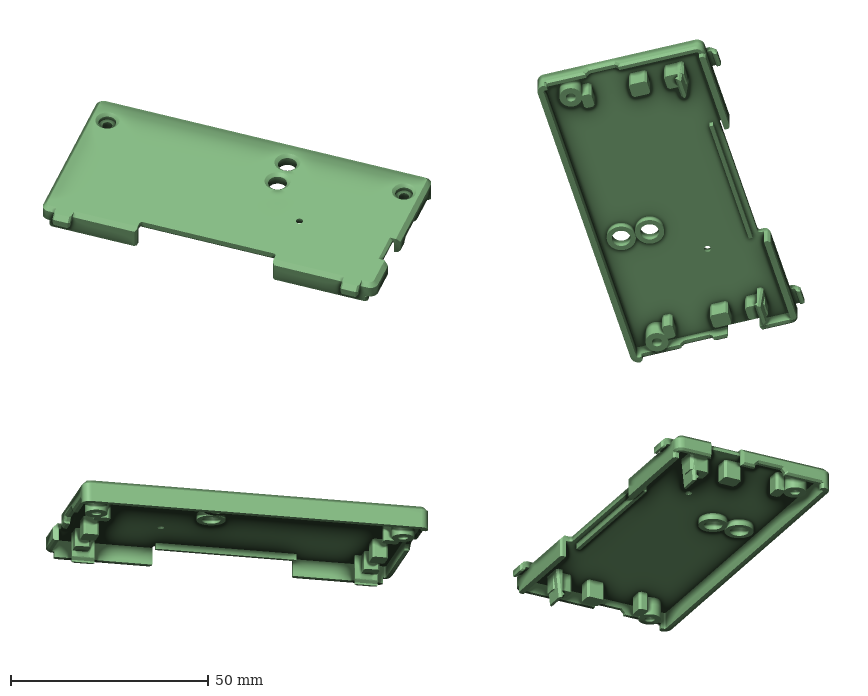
import cadquery as cq


length = 90.1
depth = 44.0
wall_height = 5.95
wall = 1.5
plate = 1.4
corner_radius = 2.1
top_chamfer = 1.1
edge_chamfer = 0.5
half_length = length / 2
inner_x = half_length - wall
overcut = 0.9

side_edge_z = -4.5
front_leg_inset = 2.8
rear_leg_length = 2.7
legs_cut_x = half_length - front_leg_inset
rear_leg_y = depth - rear_leg_length

side_notch_y = 26.7
side_notch_width = 8.6
side_notch_corner = 0.9
side_notch_z = -3.1

front_notch_left = -19.3
front_notch_right = 17.3
front_notch_depth = 3.1
front_notch_corner = 0.7
rib_y = 4.5
rib_width = 1.0
rib_z = -3.1

opening_y = 14.3
opening_width = 8.5
opening_depth = 2.0
opening_bevel = 0.7
opening_flare_length = 1.2
opening_flare_width = 0.5

screw_x = 39.9
screw_y = 36.1
boss_radius = 2.9
boss_z = -6.3
screw_sink_diameter = 6.1
screw_bore_diameter = 4.5
screw_bore_depth = 1.7
screw_hole_diameter = 2.5
screw_slot_width = 2.0
screw_slot_reach = 2.1
screw_slot_depth = 0.4

window_x = 8.4
window_ys = (29.1, 36.6)
window_sink_diameter = 6.6
window_diameter = 4.8
tube_diameter = 7.4
tube_z = -3.1
sink_depth = 0.7
pin_hole_x = 18.65
pin_hole_y = 16.8
pin_hole_diameter = 1.8

pad_spans = ((6.6, 11.8), (16.3, 21.1), (31.0, 33.7))
pad_outer_x = 39.6
pad_width = 4.05

hook_x = 38.7
hook_width = 4.7
hook_reach = 2.5
hook_height = 2.9
hook_chamfer = 0.45
hook_slope = 1.2
hook_thickness = 1.7
hook_root_y = -1.1
hook_catch_y = -1.4
hook_catch_z = -2.6
hook_tip_width = 0.6
tab_x = 36.85
tab_width = 5.9
tab_front_y = 6.5
tab_tip_y = 7.3
tab_back_y = 8.1
tab_z = -9.3
barb_z = -8.2
barb_reach = 0.6
barb_rise = 0.45
barb_drop = 0.6


def block(x_min, x_max, y_min, y_max, z_min, z_max):
    """Axis-aligned box given by its limits."""
    size = (x_max - x_min, y_max - y_min, z_max - z_min)
    return cq.Workplane("XY").box(*size, centered=False).translate((x_min, y_min, z_min))


def cylinder(x, y, diameter, z_min, z_max):
    """Upright cylinder."""
    return cq.Workplane("XY", origin=(x, y, z_min)).circle(diameter / 2).extrude(z_max - z_min)


def countersink(x, y, top_diameter, bottom_diameter):
    """Conical recess opening at the top face."""
    cone = cq.Workplane("XY", origin=(x, y, 0)).circle(top_diameter / 2)
    return cone.workplane(offset=-sink_depth).circle(bottom_diameter / 2).loft()


def both_sides(solid):
    """The solid together with its mirror image across the YZ plane."""
    return solid.union(solid.mirror("YZ"))


def make_shell():
    outer = block(-half_length, half_length, 0, depth, -wall_height, 0)
    outer = outer.edges("|Z").fillet(corner_radius).faces(">Z").chamfer(top_chamfer)
    cavity = block(-inner_x, inner_x, wall, depth - wall, -wall_height, -plate)
    cavity = cavity.edges("|Z").fillet(corner_radius - wall)
    return outer.cut(cavity)


def make_side_edge_cut():
    """Space below the left wall, beveled along the outer edge and at both legs."""
    front_x = -legs_cut_x
    outside = -half_length - overcut
    plan = [
        (front_x, -overcut),
        (front_x, 0),
        (front_x - edge_chamfer, edge_chamfer),
        (front_x - edge_chamfer, rear_leg_y),
        (edge_chamfer - half_length, rear_leg_y),
        (-half_length, rear_leg_y + edge_chamfer),
        (outside, rear_leg_y + edge_chamfer),
        (outside, -overcut),
    ]
    cut_height = wall_height + side_edge_z
    lower = cq.Workplane("XY", origin=(0, 0, -wall_height)).polyline(plan).close().extrude(cut_height)

    full = block(-half_length, half_length, 0, depth, side_edge_z, 0)
    beveled = full.edges("|Z").fillet(corner_radius).faces("<Z").chamfer(edge_chamfer)
    bevel_zone = block(-half_length, front_x, 0, rear_leg_y, side_edge_z, side_edge_z + edge_chamfer)
    return lower.union(bevel_zone.cut(beveled))


def make_side_notch():
    """Notch with sloped upper corners in the left wall, flared at the outer face."""
    half_width = side_notch_width / 2
    half_top = half_width - side_notch_corner
    corner_z = side_notch_z - side_notch_corner
    profile = [
        (side_notch_y - half_top, side_notch_z),
        (side_notch_y + half_top, side_notch_z),
        (side_notch_y + half_width, corner_z),
        (side_notch_y + half_width, -wall_height),
        (side_notch_y - half_width, -wall_height),
        (side_notch_y - half_width, corner_z),
    ]
    start = (edge_chamfer - half_length, 0, 0)
    through = cq.Workplane("YZ", origin=start).polyline(profile).close().extrude(wall)
    flare = cq.Workplane("YZ", origin=start).polyline(profile).close().extrude(-edge_chamfer, taper=-45)
    return through.union(flare)


def make_front_notch():
    notch = block(front_notch_left, front_notch_right, -overcut, front_notch_depth, -wall_height, 0)
    notch = notch.edges("|Z and >Y").fillet(front_notch_corner)
    flare_plan = [
        (front_notch_left - edge_chamfer, 0),
        (front_notch_right + edge_chamfer, 0),
        (front_notch_right, edge_chamfer),
        (front_notch_left, edge_chamfer),
    ]
    return notch.union(cq.Workplane("XY").polyline(flare_plan).close().extrude(-wall_height))


def make_right_opening():
    """Opening through the right wall and plate edge, flared outward, with a beveled plate edge."""
    half_width = opening_width / 2
    half_mouth = half_width + opening_flare_width
    lower_inner = half_length - opening_depth
    upper_inner = lower_inner - opening_bevel
    flare_start = half_length - opening_flare_length
    plan = [
        (lower_inner, opening_y - half_width),
        (flare_start, opening_y - half_width),
        (half_length, opening_y - half_mouth),
        (half_length, opening_y + half_mouth),
        (flare_start, opening_y + half_width),
        (lower_inner, opening_y + half_width),
    ]
    opening = cq.Workplane("XY").polyline(plan).close().extrude(-wall_height)
    wedge = [(upper_inner, 0), (lower_inner, -opening_bevel), (lower_inner, 0)]
    back_end = (0, opening_y + half_width, 0)
    bevel = cq.Workplane("XZ", origin=back_end).polyline(wedge).close().extrude(opening_width)
    return opening.union(bevel)


def make_pads():
    """Chamfered support pads along the left side."""
    pads = cq.Workplane("XY")
    for front, back in pad_spans:
        pad = block(-pad_outer_x, pad_width - pad_outer_x, front, back, boss_z, -plate)
        pads = pads.union(pad.edges("|Z").chamfer(edge_chamfer))
    return pads


def make_hook():
    """Hook at the left of the front edge, reaching forward and down."""
    profile = [
        (wall, 0),
        (hook_slope - hook_reach, 0),
        (-hook_reach, -hook_slope),
        (-hook_reach, -hook_height),
        (hook_tip_width - hook_reach, -hook_height),
        (hook_catch_y, hook_catch_z),
        (hook_root_y, -hook_thickness),
        (wall, -hook_thickness),
    ]
    start = (-hook_x - hook_width / 2, 0, 0)
    hook = cq.Workplane("YZ", origin=start).polyline(profile).close().extrude(hook_width)
    return hook.edges("(|Z and <Y) or |(0,1,1) or (|Y and <Z)").chamfer(hook_chamfer)


def make_tab():
    """Snap tab hanging from the plate at the left, with a barb facing the back."""
    profile = [
        (tab_front_y, -plate),
        (tab_back_y, -plate),
        (tab_back_y, barb_z + barb_rise),
        (tab_back_y + barb_reach, barb_z),
        (tab_back_y, barb_z - barb_drop),
        (tab_back_y, tab_z),
        (tab_tip_y, tab_z),
    ]
    start = (-tab_x - tab_width / 2, 0, 0)
    tab = cq.Workplane("YZ", origin=start).polyline(profile).close().extrude(tab_width)
    front_direction = (0, tab_tip_y - tab_front_y, tab_z + plate)
    front_edges = cq.selectors.ParallelDirSelector(cq.Vector(*front_direction))
    return tab.edges(front_edges).chamfer(edge_chamfer)


def make_screw_recess():
    recess = countersink(-screw_x, screw_y, screw_sink_diameter, screw_bore_diameter)
    recess = recess.union(cylinder(-screw_x, screw_y, screw_bore_diameter, -screw_bore_depth, 0))
    recess = recess.union(cylinder(-screw_x, screw_y, screw_hole_diameter, boss_z, 0))
    slot_floor_z = -screw_bore_depth - screw_slot_depth
    slot_left = -screw_x - screw_slot_width / 2
    slot = block(
        slot_left,
        slot_left + screw_slot_width,
        screw_y - screw_slot_reach,
        screw_y,
        slot_floor_z,
        -screw_bore_depth,
    )
    return recess.union(slot)


result = make_shell()
result = result.cut(both_sides(make_side_edge_cut()))
result = result.cut(both_sides(make_side_notch()))
result = result.cut(make_front_notch())
result = result.cut(make_right_opening())
result = result.union(both_sides(make_pads())).union(both_sides(make_hook())).union(both_sides(make_tab()))
result = result.union(both_sides(cylinder(-screw_x, screw_y, 2 * boss_radius, boss_z, -plate)))
result = result.union(block(front_notch_left, front_notch_right, rib_y, rib_y + rib_width, rib_z, -plate))
result = result.cut(both_sides(make_screw_recess()))
for y in window_ys:
    result = result.union(cylinder(window_x, y, tube_diameter, tube_z, -plate))
for y in window_ys:
    result = result.cut(countersink(window_x, y, window_sink_diameter, window_diameter))
    result = result.cut(cylinder(window_x, y, window_diameter, tube_z, 0))
result = result.cut(cylinder(pin_hole_x, pin_hole_y, pin_hole_diameter, -plate, 0))